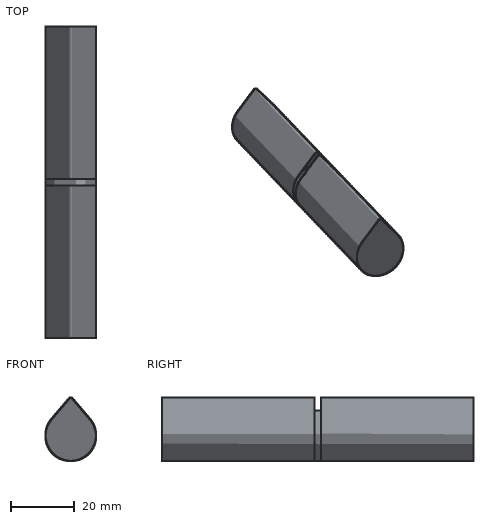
import cadquery as cq
import math

total_length = 98.0
washer_thickness = 2.0
barrel_diameter = 16.0
total_height = 20.0
tip_radius = 0.6

barrel_radius = barrel_diameter / 2
knuckle_length = (total_length - washer_thickness) / 2
tip_top = total_height - barrel_radius
tip_center = tip_top - tip_radius

flank_angle = math.asin((barrel_radius - tip_radius) / tip_center)


def tangent_point(radius, center_height, side):
    """Point where the flank on the given side (-1 or 1) touches a circle on the mid-plane."""
    return (
        side * radius * math.cos(flank_angle),
        center_height + radius * math.sin(flank_angle),
    )


def make_knuckle(front_end):
    """Drop-shaped hinge knuckle running from Y = front_end towards +Y."""
    return (
        cq.Workplane("XZ", origin=(0, front_end, 0))
        .moveTo(*tangent_point(barrel_radius, 0, -1))
        .lineTo(*tangent_point(tip_radius, tip_center, -1))
        .threePointArc((0, tip_top), tangent_point(tip_radius, tip_center, 1))
        .lineTo(*tangent_point(barrel_radius, 0, 1))
        .threePointArc((0, -barrel_radius), tangent_point(barrel_radius, 0, -1))
        .close()
        .extrude(-knuckle_length)
    )


def make_washer():
    """Round washer that fills the gap between the two knuckles."""
    return (
        cq.Workplane("XZ", origin=(0, -washer_thickness / 2, 0))
        .circle(barrel_radius)
        .extrude(-washer_thickness)
    )


knuckles = [make_knuckle(front_end) for front_end in (-total_length / 2, washer_thickness / 2)]
washer = make_washer()

result = cq.Compound.makeCompound([*(knuckle.val() for knuckle in knuckles), washer.val()])